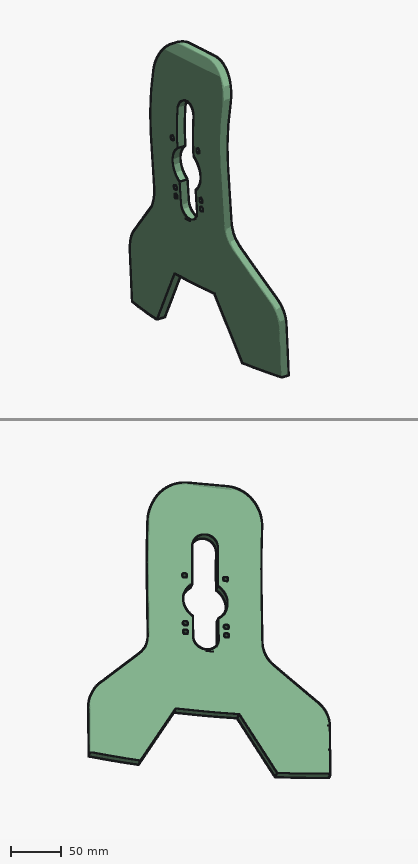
import cadquery as cq
import math

height = 311.5
thickness = 10.0
base_width = 241.5
base_half_width = base_width / 2
neck_half_width = 57.0
corner_radius = 37.5
edge_radius = 2.0

shoulder_low_z = 69.5
shoulder_high_z = shoulder_low_z + base_half_width - neck_half_width

head_bend_radius = 280.5
head_bend_z = 208.0
neck_tilt = 4.1
wing_tilt = 2.9
wing_bend_radius = 573.2
blend_top_z = 132.0
blend_bottom_z = 69.0
crease_radius = 93.5
wing_sheet_half_width = 130.8
neck_sheet_half_width = wing_sheet_half_width - (blend_top_z - blend_bottom_z)
sheet_margin = 15.5
body_depth = 124.5

select_margin = 1.0
broad_face_normal = 0.7

slot_width = 25.5
slot_bottom_z = 134.0
slot_top_z = 261.0
keyhole_diameter = 44.5
keyhole_z = 188.5
hole_diameter = 5.0
hole_x = 20.5
hole_heights = (151.7, 161.5, 215.3)
notch_top_z = 63.5
notch_top_half_width = 31.8
notch_bottom_half_width = 68.5
cut_depth = 187.0

neck_slope = math.tan(math.radians(neck_tilt))
wing_slope = math.tan(math.radians(wing_tilt))
bend_front_y = head_bend_radius * (1 - math.cos(math.radians(neck_tilt)))
blend_top_y = bend_front_y + neck_slope * (head_bend_z - blend_top_z)
blend_bottom_y = blend_top_y + neck_slope * (blend_top_z - blend_bottom_z)
base_y = blend_bottom_y + wing_slope * blend_bottom_z


def head_body(setback):
    """Flat neck running tangentially into the backward-curving head, filled back to a deep plane."""
    tilt = math.radians(neck_tilt)
    center_y = head_bend_radius
    center_z = head_bend_z + head_bend_radius * math.sin(tilt)
    radius = head_bend_radius - setback
    end_angle = math.asin((height + sheet_margin - center_z) / radius)

    def on_arc(angle):
        return (center_y - radius * math.cos(angle), center_z + radius * math.sin(angle))

    return (
        cq.Workplane("YZ")
        .moveTo(blend_top_y + setback / math.cos(tilt), blend_top_z)
        .lineTo(*on_arc(-tilt))
        .threePointArc(on_arc((end_angle - tilt) / 2), on_arc(end_angle))
        .lineTo(body_depth, height + sheet_margin)
        .lineTo(body_depth, blend_top_z)
        .close()
        .extrude(neck_sheet_half_width, both=True)
    )


def flat_section(setback):
    """Straight-fronted section where the neck meets the blend."""
    front_y = blend_top_y + setback / math.cos(math.radians(neck_tilt))
    return (
        cq.Workplane("XY", origin=(0, 0, blend_top_z))
        .moveTo(-neck_sheet_half_width, front_y)
        .lineTo(neck_sheet_half_width, front_y)
        .lineTo(neck_sheet_half_width, body_depth)
        .lineTo(-neck_sheet_half_width, body_depth)
        .close()
        .val()
    )


def bowed_section(center_y, z, setback):
    """Section whose front is an arc, bowed backward at the sides."""
    radius = wing_bend_radius - setback
    front_y = center_y + setback / math.cos(math.radians(neck_tilt))
    side_y = front_y + radius - math.sqrt(radius**2 - wing_sheet_half_width**2)
    return (
        cq.Workplane("XY", origin=(0, 0, z))
        .moveTo(-wing_sheet_half_width, side_y)
        .threePointArc((0, front_y), (wing_sheet_half_width, side_y))
        .lineTo(wing_sheet_half_width, body_depth)
        .lineTo(-wing_sheet_half_width, body_depth)
        .close()
        .val()
    )


def ruled_body(lower, upper):
    """Solid with straight rulings between two sections."""
    return cq.Workplane(cq.Solid.makeLoft([lower, upper], True))


def body_behind(setback):
    """Everything behind the front surface moved back by setback, with the neck crease rounded."""
    base_section = bowed_section(base_y, 0, setback)
    middle_section = bowed_section(blend_bottom_y, blend_bottom_z, setback)
    blend = ruled_body(middle_section, flat_section(setback))
    wings = ruled_body(base_section, middle_section)
    crease_y = blend_top_y + setback
    crease = cq.selectors.BoxSelector(
        (-select_margin, crease_y - select_margin, blend_top_z - select_margin),
        (select_margin, crease_y + select_margin, blend_top_z + select_margin),
    )
    return (
        head_body(setback)
        .union(blend)
        .union(wings)
        .edges(crease)
        .fillet(crease_radius - setback)
    )


def outline():
    """Front silhouette as a prism, with all six corners above the base rounded."""
    above_base = cq.selectors.BoxSelector(
        (-base_half_width - select_margin, -cut_depth, select_margin),
        (base_half_width + select_margin, cut_depth, height + select_margin),
    )
    return (
        cq.Workplane("XZ")
        .polyline([
            (-base_half_width, 0),
            (base_half_width, 0),
            (base_half_width, shoulder_low_z),
            (neck_half_width, shoulder_high_z),
            (neck_half_width, height),
            (-neck_half_width, height),
            (-neck_half_width, shoulder_high_z),
            (-base_half_width, shoulder_low_z),
        ])
        .close()
        .extrude(cut_depth, both=True)
        .edges("|Y")
        .edges(above_base)
        .fillet(corner_radius)
    )


def openings():
    """Slot with keyhole, fastener holes and the tapered notch at the base."""
    front = cq.Workplane("XZ")
    slot_length = slot_top_z - slot_bottom_z
    slot_middle_z = (slot_bottom_z + slot_top_z) / 2
    slot = front.center(0, slot_middle_z).slot2D(slot_length, slot_width, 90).extrude(cut_depth, both=True)
    keyhole = front.center(0, keyhole_z).circle(keyhole_diameter / 2).extrude(cut_depth, both=True)
    hole_centers = [(side * hole_x, z) for side in (-1, 1) for z in hole_heights]
    holes = front.pushPoints(hole_centers).circle(hole_diameter / 2).extrude(cut_depth, both=True)
    notch = (
        front
        .polyline([
            (-notch_bottom_half_width, 0),
            (notch_bottom_half_width, 0),
            (notch_top_half_width, notch_top_z),
            (-notch_top_half_width, notch_top_z),
        ])
        .close()
        .extrude(cut_depth, both=True)
    )
    return slot.union(keyhole).union(holes).union(notch)


def rim_edges(plate, facing):
    """Outer edges of the front (facing = -1) or back (facing = 1) surface, without the flat base."""
    faces = [face for face in plate.faces().vals() if facing * face.normalAt().y > broad_face_normal]
    edges = [edge for face in faces for edge in face.Edges()]
    return [
        edge
        for edge in edges
        if sum(edge.isSame(other) for other in edges) == 1 and edge.BoundingBox().zmax > select_margin
    ]


plate = body_behind(0).cut(body_behind(thickness)).intersect(outline())
for facing in (-1, 1):
    plate = plate.newObject(rim_edges(plate, facing)).fillet(edge_radius)
result = plate.cut(openings())